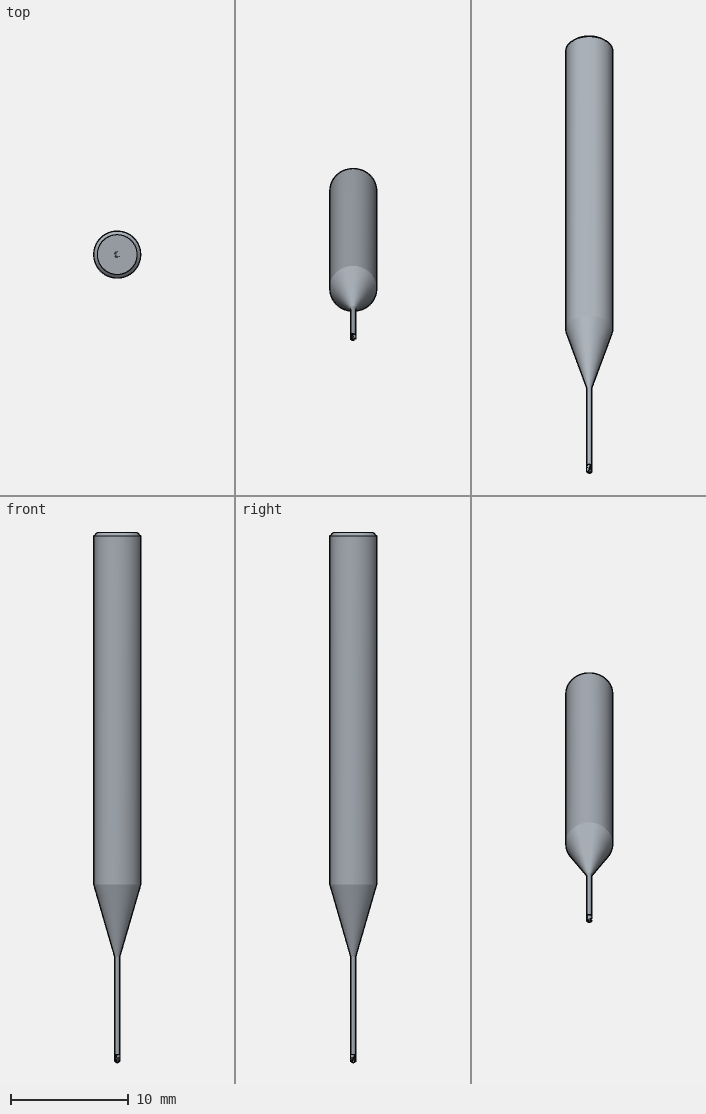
import cadquery as cq

TOTAL_LENGTH = 45.0
SHANK_RADIUS = 4.0 / 2
SHANK_CHAMFER = 0.3

TAPER_TOP_Z = 15.1
TAPER_BOTTOM_Z = 9.0
NECK_RADIUS = 0.22

HEAD_LENGTH = 0.7
HEAD_RADIUS = 0.248
FLUTE_COUNT = 2
FLUTE_CORE_RADIUS = 0.1
FLUTE_WIDTH = 0.22
FLUTE_TWIST = 60.0


def make_shank():
    """Chamfered shank, taper and neck, turned as one solid."""
    return (
        cq.Workplane("XZ")
        .moveTo(0, HEAD_LENGTH)
        .lineTo(NECK_RADIUS, HEAD_LENGTH)
        .lineTo(NECK_RADIUS, TAPER_BOTTOM_Z)
        .lineTo(SHANK_RADIUS, TAPER_TOP_Z)
        .lineTo(SHANK_RADIUS, TOTAL_LENGTH - SHANK_CHAMFER)
        .lineTo(SHANK_RADIUS - SHANK_CHAMFER, TOTAL_LENGTH)
        .lineTo(0, TOTAL_LENGTH)
        .close()
        .revolve(360, (0, 0, 0), (0, 1, 0))
    )


def make_flute_cutter():
    """Twisted bars that cut evenly spaced helical flutes down to the core."""
    return (
        cq.Workplane("XY")
        .polarArray(FLUTE_CORE_RADIUS + HEAD_RADIUS / 2, 0, 360, FLUTE_COUNT)
        .rect(HEAD_RADIUS, FLUTE_WIDTH)
        .twistExtrude(HEAD_LENGTH, FLUTE_TWIST)
    )


def make_cutting_head():
    """Ball-nosed cylinder with helical flutes."""
    blank = (
        cq.Workplane("XZ")
        .moveTo(0, 0)
        .radiusArc((HEAD_RADIUS, HEAD_RADIUS), -HEAD_RADIUS)
        .lineTo(HEAD_RADIUS, HEAD_LENGTH)
        .lineTo(0, HEAD_LENGTH)
        .close()
        .revolve(360, (0, 0, 0), (0, 1, 0))
    )
    return blank.cut(make_flute_cutter())


shank = make_shank()
cutting_head = make_cutting_head()

result = cq.Compound.makeCompound([shank.val(), cutting_head.val()])